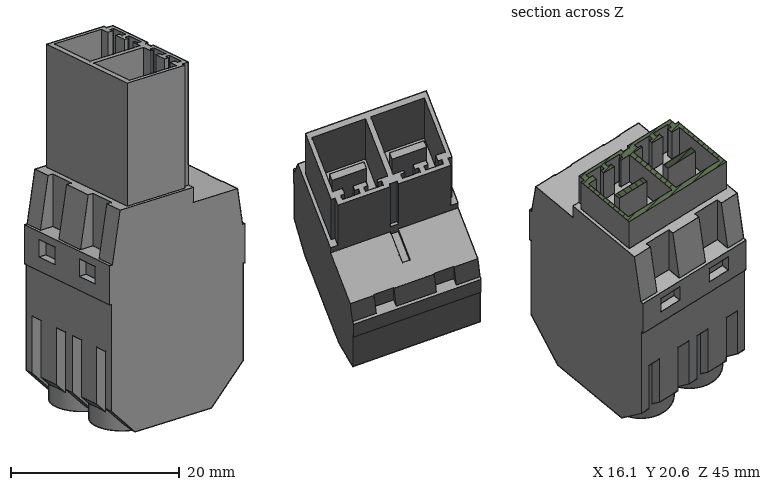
import cadquery as cq


POLE_PITCH = 7.6
POLE_CENTRES = [-POLE_PITCH / 2, POLE_PITCH / 2]

WIDTH = 16.15
BAND_DEPTH = 20.6
BAND_HALF_DEPTH = BAND_DEPTH / 2
BAND_PROUD = 0.25
BAND_BOTTOM = 17.37
BAND_TOP = 22.4
BLOCK_HALF_DEPTH = BAND_HALF_DEPTH - BAND_PROUD
FRONT_SLOPE_FOOT = -9.9
REAR_SLOPE_FOOT = 9.95
COLLAR_TOP = 29.15
COLLAR_FRONT = -8.75
STEP_TOP = 27.25
STEP_REAR = 9.2
FRONT_CHAMFER = 3.6
REAR_CHAMFER = 4.85

SLEEVE_RADIUS = 3.95
SLEEVE_FRONT = -8.95
SLEEVE_Y = SLEEVE_FRONT + SLEEVE_RADIUS
SLOT_INNER = 1.45
SLOT_OUTER = 3.15
SLOT_TOP = 10.95

POCKET_WIDTH = 3.5
POCKET_BACK = -8.0
WINDOW_WIDTH = 2.95
WINDOW_BOTTOM = 19.17
WINDOW_TOP = 21.42
WINDOW_DEPTH = 1.05
NOTCH_WIDTH = 2.5
NOTCH_FRONT = 9.1

TOWER_TOP = 45.0
TOWER_HALF_WIDTH = 7.65
TOWER_FRONT = -7.3
TOWER_BACK = 2.45
TOWER_SHOULDER_HALF_WIDTH = 7.15
TOWER_SHOULDER_Y = 1.5

KEY_WIDTH = 1.0
KEY_GROOVE_FRONT = 2.05
KEY_SLOT_REAR = 6.53
KEY_SLOT_DEPTH = 1.0

CHAMBER_FLOOR = COLLAR_TOP
CHAMBER_FRONT = -6.53
CHAMBER_OUTER_X = 7.1
CHAMBER_INNER_X = 0.338
OUTER_POST_Y = 0.65
MIDDLE_POST_Y = 0.8
INNER_POST_Y = 1.1

CODING_SPACING = 2.93
CODING_STEM_WIDTH = 1.25
CODING_HEAD_WIDTH = 2.25
CODING_NECK_Y = 1.4
CODING_BACK = 1.95

BLADE_WIDTH = 4.35
BLADE_THICKNESS = 0.85
BLADE_Y = -3.15
BLADE_HEIGHT = 9.0


def box(x0, x1, y0, y1, z0, z1):
    """Box between two opposite corners."""
    return cq.Workplane("XY").box(x1 - x0, y1 - y0, z1 - z0, centered=False).translate((x0, y0, z0))


def pole_box(centre, width, y0, y1, z0, z1):
    """Box of a given width centred across X on a pole or groove."""
    return box(centre - width / 2, centre + width / 2, y0, y1, z0, z1)


def main_block():
    """Side profile with its band, slopes, step and bottom chamfers, drawn across the full width."""
    profile = [
        (-BLOCK_HALF_DEPTH + FRONT_CHAMFER, 0),
        (-BLOCK_HALF_DEPTH, FRONT_CHAMFER),
        (-BLOCK_HALF_DEPTH, BAND_BOTTOM),
        (-BAND_HALF_DEPTH, BAND_BOTTOM),
        (-BAND_HALF_DEPTH, BAND_TOP),
        (FRONT_SLOPE_FOOT, BAND_TOP),
        (COLLAR_FRONT, COLLAR_TOP),
        (TOWER_BACK, COLLAR_TOP),
        (TOWER_BACK, STEP_TOP),
        (STEP_REAR, STEP_TOP),
        (REAR_SLOPE_FOOT, BAND_TOP),
        (BAND_HALF_DEPTH, BAND_TOP),
        (BAND_HALF_DEPTH, BAND_BOTTOM),
        (BLOCK_HALF_DEPTH, BAND_BOTTOM),
        (BLOCK_HALF_DEPTH, REAR_CHAMFER),
        (BLOCK_HALF_DEPTH - REAR_CHAMFER, 0),
    ]
    return cq.Workplane("YZ").polyline(profile).close().extrude(WIDTH / 2, both=True)


def front_slots(centre):
    """Pair of slots either side of a pole, cut back to the middle of its sleeve."""
    left = box(centre - SLOT_OUTER, centre - SLOT_INNER, -BAND_HALF_DEPTH, SLEEVE_Y, 0, SLOT_TOP)
    right = box(centre + SLOT_INNER, centre + SLOT_OUTER, -BAND_HALF_DEPTH, SLEEVE_Y, 0, SLOT_TOP)
    return left.union(right)


def sleeve(centre):
    """Round wire sleeve, which stands out through the front chamfer and fills the slots' backs."""
    return cq.Workplane("XY").center(centre, SLEEVE_Y).circle(SLEEVE_RADIUS).extrude(SLOT_TOP)


def pocket(centre):
    """Pocket in the front slope, floored by the top of the band."""
    return pole_box(centre, POCKET_WIDTH, -BAND_HALF_DEPTH, POCKET_BACK, BAND_TOP, COLLAR_TOP)


def window(centre):
    """Blind latch window in the front of the band."""
    back = -BAND_HALF_DEPTH + WINDOW_DEPTH
    return pole_box(centre, WINDOW_WIDTH, -BAND_HALF_DEPTH, back, WINDOW_BOTTOM, WINDOW_TOP)


def notch(centre):
    """Notch in the rear slope, floored by the top of the band."""
    return pole_box(centre, NOTCH_WIDTH, NOTCH_FRONT, BAND_HALF_DEPTH, BAND_TOP, STEP_TOP)


def tower():
    """Solid tower with narrowed rear corners."""
    main = box(-TOWER_HALF_WIDTH, TOWER_HALF_WIDTH, TOWER_FRONT, TOWER_SHOULDER_Y, COLLAR_TOP, TOWER_TOP)
    rear = pole_box(0, 2 * TOWER_SHOULDER_HALF_WIDTH, TOWER_SHOULDER_Y, TOWER_BACK, COLLAR_TOP, TOWER_TOP)
    return main.union(rear)


def key_cuts():
    """Groove up the rear of the tower, and the slot in line with it in the step."""
    groove = pole_box(0, KEY_WIDTH, KEY_GROOVE_FRONT, TOWER_BACK, COLLAR_TOP, TOWER_TOP)
    slot = pole_box(0, KEY_WIDTH, TOWER_BACK, KEY_SLOT_REAR, STEP_TOP - KEY_SLOT_DEPTH, STEP_TOP)
    return groove.union(slot)


def left_chamber():
    """Chamber of the left pole: its rear wall steps between the posts beside the coding grooves."""
    outer_groove = POLE_CENTRES[0] - CODING_SPACING / 2
    inner_groove = POLE_CENTRES[0] + CODING_SPACING / 2
    chamber = box(-CHAMBER_OUTER_X, -CHAMBER_INNER_X, CHAMBER_FRONT, OUTER_POST_Y, CHAMBER_FLOOR, TOWER_TOP)
    middle = box(outer_groove, inner_groove, OUTER_POST_Y, MIDDLE_POST_Y, CHAMBER_FLOOR, TOWER_TOP)
    inner = box(inner_groove, -CHAMBER_INNER_X, OUTER_POST_Y, INNER_POST_Y, CHAMBER_FLOOR, TOWER_TOP)
    chamber = chamber.union(middle).union(inner)
    for centre in (outer_groove, inner_groove):
        stem = pole_box(centre, CODING_STEM_WIDTH, OUTER_POST_Y, CODING_NECK_Y, CHAMBER_FLOOR, TOWER_TOP)
        head = pole_box(centre, CODING_HEAD_WIDTH, CODING_NECK_Y, CODING_BACK, CHAMBER_FLOOR, TOWER_TOP)
        chamber = chamber.union(stem).union(head)
    return chamber


def make_housing():
    """Block, sleeves and tower as one solid, with every pocket and chamber cut."""
    body = main_block()
    for centre in POLE_CENTRES:
        body = body.cut(front_slots(centre))
    for centre in POLE_CENTRES:
        body = body.union(sleeve(centre))
    for centre in POLE_CENTRES:
        body = body.cut(pocket(centre)).cut(window(centre)).cut(notch(centre))
    chamber = left_chamber()
    body = body.union(tower()).cut(key_cuts())
    return body.cut(chamber).cut(chamber.mirror("YZ"))


def make_blade(centre):
    """Flat contact blade standing on the floor of its chamber."""
    front = BLADE_Y - BLADE_THICKNESS / 2
    back = BLADE_Y + BLADE_THICKNESS / 2
    return pole_box(centre, BLADE_WIDTH, front, back, CHAMBER_FLOOR, CHAMBER_FLOOR + BLADE_HEIGHT)


housing = make_housing()
blades = [make_blade(centre).val() for centre in POLE_CENTRES]

result = cq.Compound.makeCompound([housing.val(), *blades])